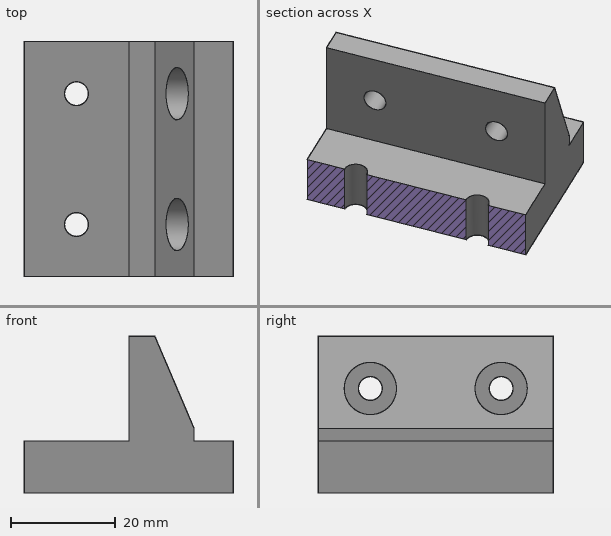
import cadquery as cq

length = 45.0
width = 40.0
base_height = 10.0

total_height = 30.0
wall_front = width / 2
wall_top_thickness = 5.0
wall_foot_thickness = 12.5
foot_height = 2.4

hole_diameter = 4.5
hole_end_distance = 10.0
base_hole_x = wall_front / 2
wall_hole_z = (base_height + total_height) / 2
counterbore_diameter = 10.0
counterbore_floor_x = wall_front + wall_top_thickness

hole_rows = (hole_end_distance, length - hole_end_distance)


def make_base():
    return cq.Workplane("XY").box(width, length, base_height, centered=False)


def make_wall():
    foot_back = wall_front + wall_foot_thickness
    profile = [
        (wall_front, 0),
        (wall_front, total_height),
        (wall_front + wall_top_thickness, total_height),
        (foot_back, base_height + foot_height),
        (foot_back, 0),
    ]
    return cq.Workplane("XZ").polyline(profile).close().extrude(-length)


def base_holes():
    centers = [(base_hole_x, y) for y in hole_rows]
    return cq.Workplane("XY").pushPoints(centers).circle(hole_diameter / 2).extrude(base_height)


def wall_cylinders(start_x, diameter):
    """Cylinders along X at both wall holes, running from start_x to the back of the part."""
    centers = [(y, wall_hole_z) for y in hole_rows]
    plane = cq.Workplane("YZ", origin=(start_x, 0, 0))
    return plane.pushPoints(centers).circle(diameter / 2).extrude(width - start_x)


result = (
    make_base()
    .union(make_wall())
    .cut(base_holes())
    .cut(wall_cylinders(wall_front, hole_diameter))
    .cut(wall_cylinders(counterbore_floor_x, counterbore_diameter))
)